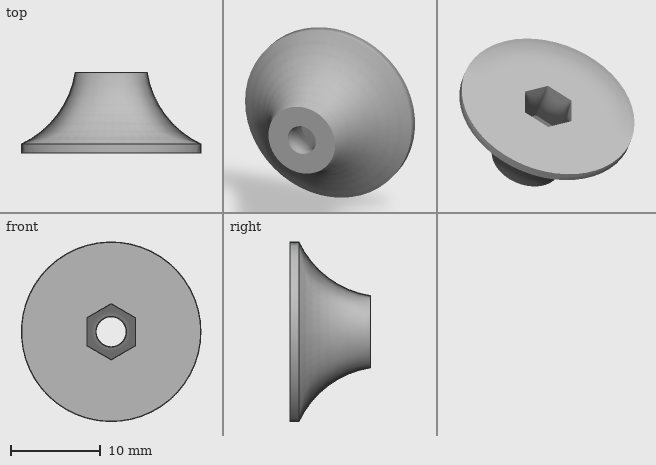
import cadquery as cq
import math

flange_diameter = 20.0
flange_thickness = 1.0
overall_length = 9.0
neck_diameter = 8.0
flare_sagitta = 1.25
bolt_hole_diameter = 3.35
nut_across_flats = 5.4
nut_pocket_depth = 5.0

flange_radius = flange_diameter / 2
neck_radius = neck_diameter / 2
nut_across_corners = nut_across_flats / math.cos(math.radians(30))


def flared_body():
    """Flange disc at Y = 0 that sweeps in a concave arc up to the narrow neck."""
    profile = (
        cq.Workplane("XY")
        .lineTo(flange_radius, 0)
        .lineTo(flange_radius, flange_thickness)
        .sagittaArc((neck_radius, overall_length), flare_sagitta)
        .lineTo(0, overall_length)
        .close()
    )
    return profile.revolve(360, (0, 0, 0), (0, 1, 0))


def bolt_hole():
    """Round hole through the full length."""
    return cq.Workplane("XZ").circle(bolt_hole_diameter / 2).extrude(-overall_length)


def nut_pocket():
    """Hexagonal blind pocket in the flange face, with corners at top and bottom in Z."""
    plane = cq.Workplane("XZ").transformed(rotate=(0, 0, 90))
    return plane.polygon(6, nut_across_corners).extrude(-nut_pocket_depth)


result = flared_body().cut(bolt_hole()).cut(nut_pocket())